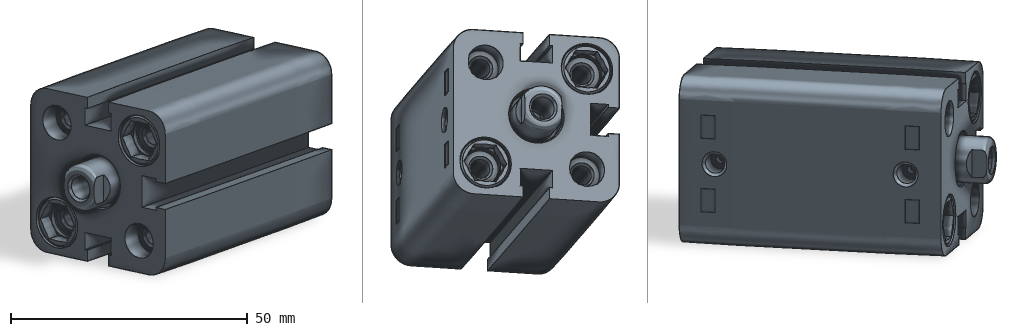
import cadquery as cq
import math


total_length = 63.6
side = 36.3
half_side = side / 2
corner_radius = 4.5
housing_length = 57.1
cap_length = 11.95
cap_draft = 0.55

slot_opening = 5.7
slot_width = 7.0
slot_lip = 2.55
slot_depth = 6.35

rod_diameter = 10.0
rod_length = total_length - housing_length
rod_tip_fillet = 1.2
wrench_width = 8.0
wrench_length = 3.3
rod_bore_diameter = 4.9
rod_bore_depth = 10.2
rod_bore_mouth = 6.0
rod_bore_floor = 3.8

recess_diameter = 11.4
recess_mouth = 12.0
recess_depth = 3.8

mount_offset = 11.0
through_diameter = 4.15
through_mouth = 5.2
counterbore_diameter = 7.6
counterbore_depth = 4.5

pocket_diameter = 11.1
pocket_depth = 1.0
collar_diameter = 10.8
collar_face_diameter = 10.0
collar_recess = 0.2
socket_width = 8.0
socket_depth = 3.2
socket_relief_diameter = 8.2

port_inset = 7.7
port_mouth = 5.5
port_diameter = 4.15
port_depth = 5.1
port_feed_diameter = 1.8
port_feed_depth = 2.55

mark_inset = 6.3
mark_offset = 7.95
mark_length = 3.05
mark_height = 5.0
mark_depth = 0.2


def section(y, toward_rear):
    """Rounded square sketched at Y = y, with its extrusion direction along +Y or -Y."""
    direction = 1 if toward_rear else -1
    plane = cq.Plane(origin=(0, y, 0), xDir=(1, 0, 0), normal=(0, direction, 0))
    return cq.Workplane(plane).sketch().rect(side, side).vertices().fillet(corner_radius).finalize()


def revolved_y(profile, x=0, z=0):
    """Solid of revolution about Y from (radius, y) points, moved to the axis at x, z."""
    return cq.Workplane("XY").polyline(profile).close().revolve(360, (0, 0), (0, 1)).translate((x, 0, z))


def cylinder_y(diameter, y_start, length, x=0, z=0):
    plane = cq.Plane(origin=(x, y_start, z), xDir=(1, 0, 0), normal=(0, 1, 0))
    return cq.Workplane(plane).circle(diameter / 2).extrude(length)


def make_housing():
    barrel_end = housing_length - cap_length
    barrel = section(cap_length, True).extrude(barrel_end - cap_length)
    front_cap = section(cap_length, False).extrude(cap_length, taper=cap_draft)
    rear_cap = section(barrel_end, True).extrude(cap_length, taper=cap_draft)
    return barrel.union(front_cap).union(rear_cap)


def make_slot(angle):
    """T-slot cutter through the whole length, in the top face turned about Y by angle."""
    opening = cq.Workplane("XY").box(slot_opening, housing_length, slot_depth, centered=(True, False, False))
    chamber_height = slot_depth - slot_lip
    chamber = cq.Workplane("XY").box(slot_width, housing_length, chamber_height, centered=(True, False, False))
    slot = opening.union(chamber).translate((0, 0, half_side - slot_depth))
    return slot.rotate((0, 0, 0), (0, 1, 0), angle)


def make_rod_recess():
    radius = recess_diameter / 2
    mouth = recess_mouth / 2
    chamfer = mouth - radius
    return revolved_y([(0, 0), (mouth, 0), (radius, chamfer), (radius, recess_depth), (0, recess_depth)])


def make_rod():
    length = rod_length + recess_depth
    rod = cylinder_y(rod_diameter, -rod_length, length).faces("<Y").edges().fillet(rod_tip_fillet)

    flat_depth = rod_diameter / 2 - wrench_width / 2
    flat_x = wrench_width / 2
    flat_end = wrench_length - rod_length
    for direction in (1, -1):
        flat = (
            cq.Workplane("XY")
            .moveTo(direction * flat_x, -rod_length)
            .lineTo(direction * flat_x, flat_end)
            .lineTo(direction * (flat_x + flat_depth), flat_end + flat_depth)
            .lineTo(direction * (flat_x + flat_depth), -rod_length)
            .close()
            .extrude(rod_diameter / 2, both=True)
        )
        rod = rod.cut(flat)

    radius = rod_bore_diameter / 2
    mouth = rod_bore_mouth / 2
    floor = rod_bore_floor / 2
    bore_end = rod_bore_depth - rod_length
    bore = revolved_y([
        (0, -rod_length),
        (mouth, -rod_length),
        (radius, -rod_length + mouth - radius),
        (radius, bore_end - (radius - floor)),
        (floor, bore_end),
        (0, bore_end),
    ])
    return rod.cut(bore)


def make_mounting_hole(x, z):
    """Counterbored through hole with a countersunk step."""
    radius = through_diameter / 2
    mouth = through_mouth / 2
    counterbore = counterbore_diameter / 2
    return revolved_y([
        (0, 0),
        (counterbore, 0),
        (counterbore, counterbore_depth),
        (mouth, counterbore_depth),
        (radius, counterbore_depth + mouth - radius),
        (radius, housing_length),
        (0, housing_length),
    ], x, z)


def make_socket(x, z):
    """Cutter that leaves a chamfered collar in a round pocket, with a hexagon socket inside."""
    pocket = cylinder_y(pocket_diameter, 0, pocket_depth, x, z)
    radius = collar_diameter / 2
    face = collar_face_diameter / 2
    shoulder = collar_recess + radius - face
    collar = revolved_y([
        (0, collar_recess),
        (face, collar_recess),
        (radius, shoulder),
        (radius, pocket_depth),
        (0, pocket_depth),
    ], x, z)
    corner_diameter = socket_width / math.cos(math.pi / 6)
    plane = cq.Plane(origin=(x, 0, z), xDir=(1, 0, 0), normal=(0, 1, 0))
    hexagon = cq.Workplane(plane).polygon(6, corner_diameter).extrude(socket_depth)
    relief = cylinder_y(socket_relief_diameter, 0, socket_depth, x, z)

    bore_radius = socket_width / 2
    floor_radius = counterbore_diameter / 2
    bore = revolved_y([
        (0, 0),
        (bore_radius, 0),
        (bore_radius, counterbore_depth - (bore_radius - floor_radius)),
        (floor_radius, counterbore_depth),
        (0, counterbore_depth),
    ], x, z)
    return pocket.cut(collar).union(hexagon).union(relief).union(bore)


def make_port(y):
    """Chamfered blind port in the -X face with a narrow feed hole in its floor."""
    radius = port_diameter / 2
    mouth = port_mouth / 2
    feed = port_feed_diameter / 2
    feed_end = port_depth + port_feed_depth
    profile = [
        (0, 0),
        (0, mouth),
        (mouth - radius, radius),
        (port_depth, radius),
        (port_depth, feed),
        (feed_end, feed),
        (feed_end, 0),
    ]
    port = cq.Workplane("XY").polyline(profile).close().revolve(360, (0, 0), (1, 0))
    return port.translate((-half_side, y, 0))


def make_mark(y, z):
    """Shallow rectangular recess in the -X face, following the cap draft at its centre."""
    distance_from_end = min(y, housing_length - y)
    surface_x = half_side - (cap_length - distance_from_end) * math.tan(math.radians(cap_draft))
    mark = cq.Workplane("XY").box(2 * mark_depth, mark_length, mark_height)
    return mark.translate((-surface_x, y, z))


result = make_housing().cut(make_rod_recess())

for slot_angle in (0, 90, 180):
    result = result.cut(make_slot(slot_angle))

for x_sign in (-1, 1):
    for z_sign in (-1, 1):
        hole_x = x_sign * mount_offset
        hole_z = z_sign * mount_offset
        result = result.cut(make_mounting_hole(hole_x, hole_z))
        if x_sign == z_sign:
            result = result.cut(make_socket(hole_x, hole_z))

for port_y in (port_inset, housing_length - port_inset):
    result = result.cut(make_port(port_y))
for mark_y in (mark_inset, housing_length - mark_inset):
    for mark_z in (-mark_offset, mark_offset):
        result = result.cut(make_mark(mark_y, mark_z))

result = result.union(make_rod())